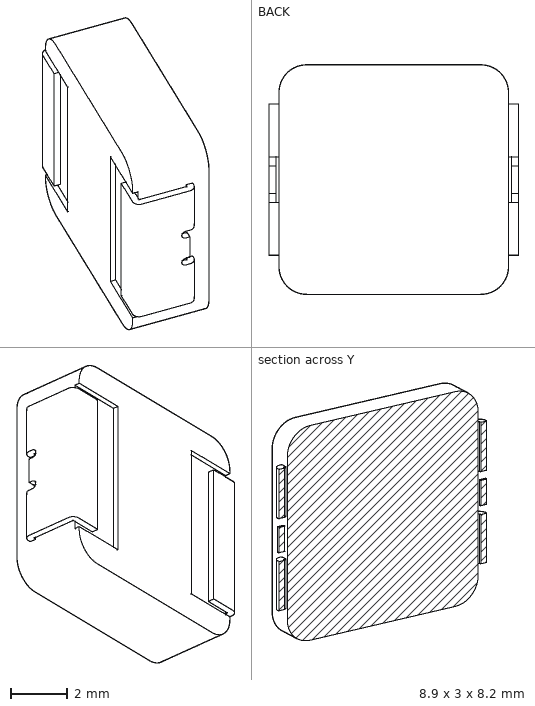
import cadquery as cq


total_length = 8.9
total_depth = 3.0

body_side = 8.2
corner_radius = 1.0
standoff = 0.05

strip_thickness = 0.26
strip_width = 5.4
foot_length = 1.3
shoulder_setback = 0.63
leg_embedding = 0.18

tongue_gap = 1.62
notch_width = 0.32
notch_depth = 0.3

recess_length = 2.1
recess_height = 5.99
recess_depth = strip_thickness - standoff

half_length = total_length / 2
half_body = body_side / 2
leg_end_x = -half_body + leg_embedding
shoulder_y = total_depth - shoulder_setback
bend_inside_y = shoulder_y - strip_thickness


def make_body():
    """Rounded block with a recess at each end of its front face."""
    body = (
        cq.Workplane("XY")
        .box(body_side, total_depth - standoff, body_side, centered=(True, False, True))
        .translate((0, standoff, 0))
        .edges("|Y")
        .fillet(corner_radius)
    )
    for side in (-1, 1):
        recess = (
            cq.Workplane("XY")
            .box(recess_length, recess_depth, recess_height, centered=(True, False, True))
            .translate((side * (half_body - recess_length / 2), standoff, 0))
        )
        body = body.cut(recess)
    return body


def make_bent_strip():
    """C-shaped strip on the -X side, before its upper leg is split."""
    outer_x = -half_length
    inner_x = outer_x + strip_thickness
    foot_end_x = outer_x + foot_length
    return (
        cq.Workplane("XY")
        .moveTo(foot_end_x, 0)
        .lineTo(inner_x, 0)
        .radiusArc((outer_x, strip_thickness), strip_thickness)
        .lineTo(outer_x, bend_inside_y)
        .radiusArc((inner_x, shoulder_y), strip_thickness)
        .lineTo(leg_end_x, shoulder_y)
        .lineTo(leg_end_x, bend_inside_y)
        .lineTo(inner_x, bend_inside_y)
        .lineTo(inner_x, strip_thickness)
        .lineTo(foot_end_x, strip_thickness)
        .close()
        .extrude(strip_width / 2, both=True)
    )


def make_terminal():
    """Bent strip with a straight central tongue set apart by two round-ended notches."""
    leg_length = leg_end_x + half_length
    gap = (
        cq.Workplane("XY")
        .box(leg_length, strip_thickness, tongue_gap, centered=(False, False, True))
        .translate((-half_length, bend_inside_y, 0))
    )
    terminal = make_bent_strip().cut(gap)

    notch_radius = notch_width / 2
    notch_end_y = bend_inside_y - notch_depth
    for side in (-1, 1):
        notch_z = side * (tongue_gap - notch_width) / 2
        notch = (
            cq.Workplane("YZ", origin=(-half_length, 0, notch_z))
            .moveTo(bend_inside_y, -notch_radius)
            .lineTo(bend_inside_y, notch_radius)
            .lineTo(notch_end_y + notch_radius, notch_radius)
            .threePointArc((notch_end_y, 0), (notch_end_y + notch_radius, -notch_radius))
            .close()
            .extrude(strip_thickness)
        )
        terminal = terminal.cut(notch)
    return terminal


left_terminal = make_terminal()
right_terminal = left_terminal.mirror("YZ")
result = make_body().union(left_terminal).union(right_terminal)